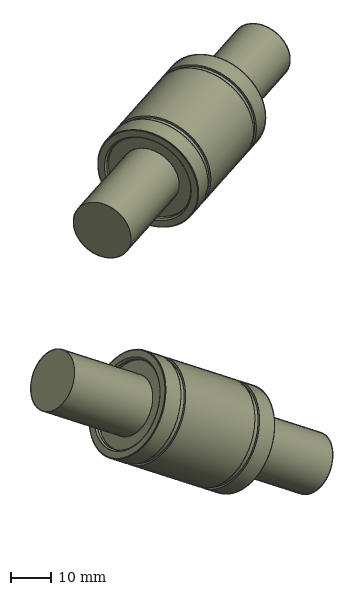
import cadquery as cq

shaft_diameter = 16.0
shaft_length = 87

bearing_diameter = 28.0
bearing_length = 37.0
bearing_end_chamfer = 0.2

groove_diameter = 27
groove_width = 1.6
groove_outer_span = 26.45

recess_diameter = 23.2
recess_depth = 1.3
recess_mouth_chamfer = 0.4


def cylinder(diameter, length, center_y=0):
    """Solid cylinder along Y, centred lengthwise on center_y."""
    start_y = center_y - length / 2
    return cq.Workplane("XZ", origin=(0, start_y, 0)).circle(diameter / 2).extrude(-length)


bearing = cylinder(bearing_diameter, bearing_length).edges().chamfer(bearing_end_chamfer)

groove_offset = (groove_outer_span - groove_width) / 2
recess_offset = (bearing_length - recess_depth) / 2
for side in (-1, 1):
    groove = cylinder(bearing_diameter, groove_width, side * groove_offset).cut(
        cylinder(groove_diameter, groove_width, side * groove_offset)
    )
    recess = cylinder(recess_diameter, recess_depth, side * recess_offset)
    bearing = bearing.cut(groove).cut(recess)

for end_face in ("<Y", ">Y"):
    bearing = bearing.faces(end_face).edges(cq.selectors.RadiusNthSelector(0)).chamfer(recess_mouth_chamfer)

result = bearing.union(cylinder(shaft_diameter, shaft_length))